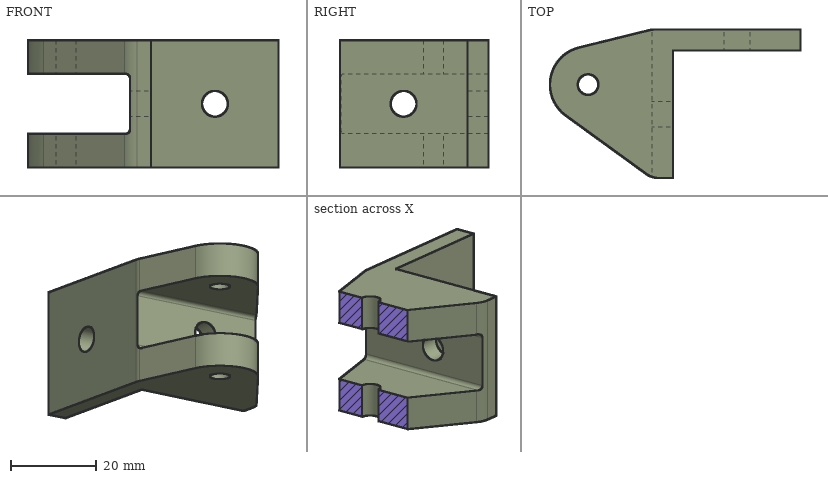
import cadquery as cq
import math

length = 59.0
depth = 35.0
height = 30.0
flange_length = 30.0
flange_thickness = 5.0
web_face_x = length - flange_length

nose_radius = 9.0
pivot_x = nose_radius
pivot_y = -13.0
pivot_hole_diameter = 4.8
slot_floor_x = 24.0
slot_width = 14.05
slot_fillet = 1.0
shoulder_fillet = 5.0

mount_hole_diameter = 6.0
flange_hole_x = web_face_x + flange_length / 2
web_hole_y = -(flange_thickness + depth) / 2


def nose_tangent_point(corner_x, corner_y, side):
    """Point where a line from the corner touches the nose; side is +1 for back, -1 for front."""
    dx = corner_x - pivot_x
    dy = corner_y - pivot_y
    angle = math.atan2(dy, dx) + side * math.acos(nose_radius / math.hypot(dx, dy))
    return (pivot_x + nose_radius * math.cos(angle), pivot_y + nose_radius * math.sin(angle))


def make_body():
    """Plan outline with a rounded nose, extruded to full height, with rounded shoulders."""
    back_tangent = nose_tangent_point(slot_floor_x, 0, 1)
    front_tangent = nose_tangent_point(slot_floor_x, -depth, -1)
    body = (
        cq.Workplane("XY")
        .moveTo(slot_floor_x, 0)
        .lineTo(length, 0)
        .lineTo(length, -flange_thickness)
        .lineTo(web_face_x, -flange_thickness)
        .lineTo(web_face_x, -depth)
        .lineTo(slot_floor_x, -depth)
        .lineTo(*front_tangent)
        .threePointArc((0, pivot_y), back_tangent)
        .close()
        .extrude(height)
    )
    for shoulder_y in (0, -depth):
        shoulder = cq.selectors.NearestToPointSelector((slot_floor_x, shoulder_y, height / 2))
        body = body.edges("|Z").edges(shoulder).fillet(shoulder_fillet)
    return body


def make_slot():
    """Clevis slot with rounded floor corners, open at the nose and both sides."""
    return (
        cq.Workplane("XY")
        .box(slot_floor_x, depth, slot_width, centered=(False, False, True))
        .translate((0, -depth, height / 2))
        .edges("|Y and >X")
        .fillet(slot_fillet)
    )


def make_hole(plane, origin, diameter, hole_length):
    """Cylinder cutter along the plane's normal."""
    return cq.Workplane(plane, origin=origin).circle(diameter / 2).extrude(hole_length)


pivot_hole = make_hole("XY", (pivot_x, pivot_y, 0), pivot_hole_diameter, height)
flange_hole = make_hole("XZ", (flange_hole_x, 0, height / 2), mount_hole_diameter, flange_thickness)
web_hole = make_hole("YZ", (0, web_hole_y, height / 2), mount_hole_diameter, web_face_x)

result = make_body().cut(make_slot()).cut(pivot_hole).cut(flange_hole).cut(web_hole)